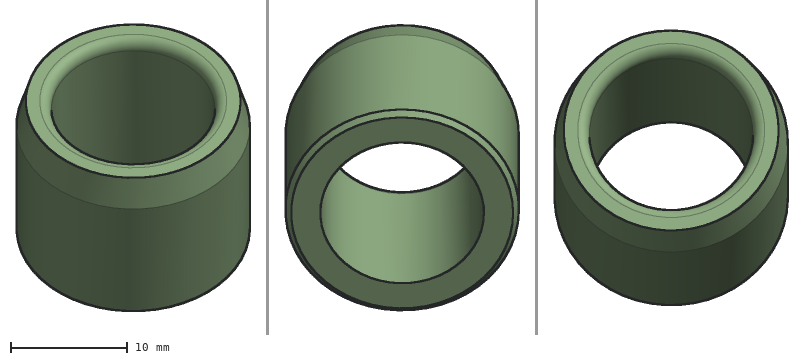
import cadquery as cq
import math

outer_diameter = 20.0
bore_diameter = 14.0
height = 16.0
taper_height = 3.0
taper_angle = 15.0
bottom_chamfer = 0.5
bore_mouth_radius = 1.0

outer_radius = outer_diameter / 2
bore_radius = bore_diameter / 2
top_radius = outer_radius - taper_height * math.tan(math.radians(taper_angle))

round_centre_x = bore_radius + bore_mouth_radius
round_centre_z = height - bore_mouth_radius
round_mid_offset = bore_mouth_radius * math.sqrt(0.5)

half_section = (
    cq.Workplane("XZ")
    .moveTo(bore_radius, 0)
    .lineTo(outer_radius - bottom_chamfer, 0)
    .lineTo(outer_radius, bottom_chamfer)
    .lineTo(outer_radius, height - taper_height)
    .lineTo(top_radius, height)
    .lineTo(round_centre_x, height)
    .threePointArc(
        (round_centre_x - round_mid_offset, round_centre_z + round_mid_offset),
        (bore_radius, round_centre_z),
    )
    .close()
)

result = half_section.revolve(360, (0, 0, 0), (0, 1, 0))